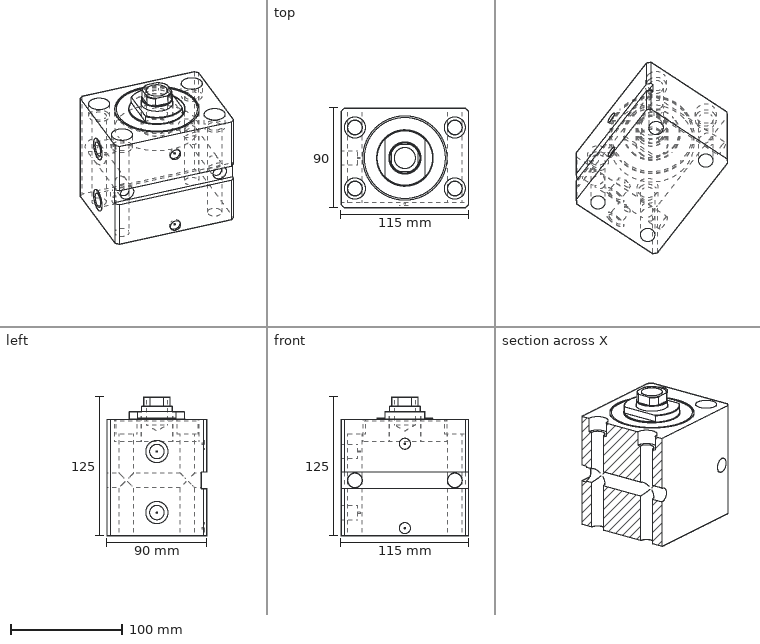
import cadquery as cq

block_length = 115.0
block_width = 90.0
block_height = 105.0
corner_chamfer = 3.0

groove_height = 15.0
groove_depth = 5.0
groove_center_z = 50.0

bolt_hole_diameter = 13.0
bolt_spacing_x = 90.0
bolt_spacing_y = 55.0
counterbore_diameter = 19.0
counterbore_depth = 13.0

port_heights = (21.0, 76.0)
port_diameter = 13.0
port_depth = 15.0
spotface_diameter = 20.0
spotface_depth = 0.2

vent_heights = (7.0, 83.0)
vent_diameter = 10.0
vent_depth = 2.0

pilot_diameter = 1.2
pilot_depth = 2.5

edge_chamfer = 0.5

gland_diameter = 76.0
gland_depth = 20.0
recess_floor_z = block_height - gland_depth
gland_chamfer = 1.5
gland_bore = 29.0
collar_diameter = 50.0
collar_base_chamfer = 0.5
collar_height = 7.0
collar_flats = 36.0
flat_base_height = 1.0

rod_diameter = 28.0
shank_top_z = block_height + 12.0
head_diameter = 27.0
head_flats = 24.0
head_top_z = 125.0
socket_diameter = 19.0
socket_depth = 25.0
socket_cone_depth = 5.5


def cylinder(diameter, bottom_z, top_z):
    """Upright cylinder on the Z axis between two heights."""
    return cq.Workplane("XY", origin=(0, 0, bottom_z)).circle(diameter / 2).extrude(top_z - bottom_z)


def chamfered_cylinder(diameter, bottom_z, top_z, chamfer):
    """Upright cylinder with its top rim chamfered."""
    return cylinder(diameter, bottom_z, top_z).faces(">Z").chamfer(chamfer)


def stepped_hole(plane, steps):
    """Cutter of coaxial cylinders running inward from a face, given as (diameter, depth) steps."""
    cutter = cq.Workplane(plane)
    for diameter, depth in steps:
        cutter = cutter.union(cq.Workplane(plane).circle(diameter / 2).extrude(-depth))
    return cutter


def make_block():
    block = (
        cq.Workplane("XY")
        .box(block_length, block_width, block_height, centered=(True, True, False))
        .edges("|Z")
        .chamfer(corner_chamfer)
    )
    groove = cq.Workplane("XY", origin=(0, -block_width / 2, groove_center_z)).box(
        block_length, 2 * groove_depth, groove_height
    )
    block = block.cut(groove)

    block = (
        block.faces(">Z")
        .workplane(origin=(0, 0, block_height))
        .rect(bolt_spacing_x, bolt_spacing_y, forConstruction=True)
        .vertices()
        .cboreHole(bolt_hole_diameter, counterbore_diameter, counterbore_depth)
    )

    cross_holes = (
        cq.Workplane("XZ", origin=(0, 0, groove_center_z))
        .pushPoints([(-bolt_spacing_x / 2, 0), (bolt_spacing_x / 2, 0)])
        .circle(bolt_hole_diameter / 2)
        .extrude(block_width / 2, both=True)
    )
    block = block.cut(cross_holes)

    for height in port_heights:
        face = cq.Plane(origin=(-block_length / 2, 0, height), xDir=(0, -1, 0), normal=(-1, 0, 0))
        port_steps = (
            (spotface_diameter, spotface_depth),
            (port_diameter, port_depth),
            (pilot_diameter, port_depth + pilot_depth),
        )
        block = block.cut(stepped_hole(face, port_steps))

    for height in vent_heights:
        face = cq.Plane(origin=(0, -block_width / 2, height), xDir=(1, 0, 0), normal=(0, -1, 0))
        vent_steps = ((vent_diameter, vent_depth), (pilot_diameter, vent_depth + pilot_depth))
        block = block.cut(stepped_hole(face, vent_steps))

    return block.cut(cylinder(gland_diameter, recess_floor_z, block_height))


def make_gland():
    disc = chamfered_cylinder(gland_diameter, recess_floor_z, block_height, gland_chamfer)

    collar_top_z = block_height + collar_height
    collar = chamfered_cylinder(collar_diameter, block_height, collar_top_z, edge_chamfer)
    flare = (
        cq.Workplane("XY", origin=(0, 0, block_height))
        .circle(collar_diameter / 2 + collar_base_chamfer)
        .workplane(offset=collar_base_chamfer)
        .circle(collar_diameter / 2)
        .loft()
    )

    beside_flats = (
        cq.Workplane("XY", origin=(0, 0, block_height + flat_base_height))
        .rect(2 * collar_diameter, 2 * collar_diameter)
        .rect(collar_flats, 2 * collar_diameter)
        .extrude(collar_height)
    )
    collar = collar.cut(beside_flats)
    return disc.union(collar).union(flare).cut(cylinder(gland_bore, recess_floor_z, collar_top_z))


def make_rod():
    shank = chamfered_cylinder(rod_diameter, recess_floor_z, shank_top_z, edge_chamfer)
    square = (
        cq.Workplane("XY", origin=(0, 0, shank_top_z))
        .rect(head_flats, head_flats)
        .extrude(head_top_z - shank_top_z)
    )
    head = chamfered_cylinder(head_diameter, shank_top_z, head_top_z, edge_chamfer).intersect(square)
    rod = shank.union(head)

    socket_floor_z = head_top_z - socket_depth
    socket_radius = socket_diameter / 2
    socket = (
        cq.Workplane("XZ", origin=(0, 0, socket_floor_z))
        .polyline(
            [(0, -socket_cone_depth), (socket_radius, 0), (socket_radius, socket_depth), (0, socket_depth)]
        )
        .close()
        .revolve(360, (0, 0, 0), (0, 1, 0))
    )
    return rod.cut(socket)


block = make_block()
gland = make_gland()
rod = make_rod()

result = cq.Compound.makeCompound([block.val(), gland.val(), rod.val()])